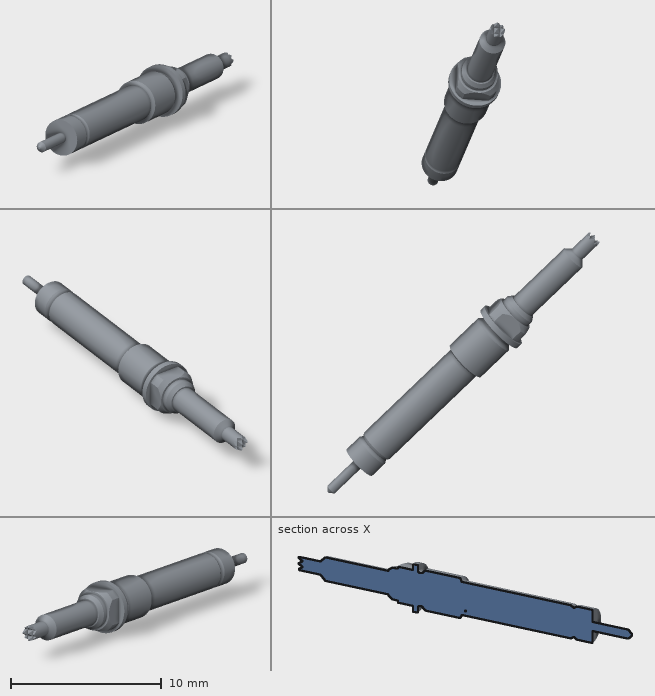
import cadquery as cq
import math

TOTAL_LENGTH = 25.0

PIN_RADIUS = 0.35
PIN_TIP_RADIUS = 0.08
PIN_CONE_LENGTH = PIN_RADIUS - PIN_TIP_RADIUS

BARREL_RADIUS = 1.22
BARREL_START = 2.92
GROOVE_CENTRE = 4.35
GROOVE_HALF_WIDTH = 0.22
GROOVE_DEPTH = 0.15

SLEEVE_RADIUS = 1.48
SLEEVE_START = 12.85
SLEEVE_END = 15.48
SLEEVE_LEAD_LENGTH = 0.12
NECK_START = SLEEVE_END + SLEEVE_RADIUS - BARREL_RADIUS
NECK_FLARE = 0.08

FLANGE_RADIUS = 1.75
FLANGE_START = 16.0
FLANGE_THICKNESS = 0.4
FLANGE_END = FLANGE_START + FLANGE_THICKNESS
FLAT_OFFSET = 1.32
FLAT_WIDTH = 1.72
WRENCH_RADIUS = math.hypot(FLAT_OFFSET, FLAT_WIDTH / 2)
WRENCH_END = 17.55
WRENCH_CHAMFER_LENGTH = 0.38

COLLAR_RADIUS = 1.18
COLLAR_END = 18.22
COLLAR_CHAMFER_RADIAL = 0.2
COLLAR_CHAMFER_LENGTH = 0.3

PLUNGER_RADIUS = 0.88
PLUNGER_END = 22.95
HEAD_RADIUS = 0.5
HEAD_START = PLUNGER_END + PLUNGER_RADIUS - HEAD_RADIUS

TOOTH_PITCH = 0.42
TOOTH_DEPTH = 0.32
TEETH_PER_ROW = 3


def turned_body():
    """Revolve the full stepped half-profile about the Y axis."""
    profile = [
        (0, 0),
        (PIN_TIP_RADIUS, 0),
        (PIN_RADIUS, PIN_CONE_LENGTH),
        (PIN_RADIUS, BARREL_START),
        (BARREL_RADIUS, BARREL_START),
        (BARREL_RADIUS, GROOVE_CENTRE - GROOVE_HALF_WIDTH),
        (BARREL_RADIUS - GROOVE_DEPTH, GROOVE_CENTRE),
        (BARREL_RADIUS, GROOVE_CENTRE + GROOVE_HALF_WIDTH),
        (BARREL_RADIUS, SLEEVE_START - SLEEVE_LEAD_LENGTH),
        (SLEEVE_RADIUS, SLEEVE_START),
        (SLEEVE_RADIUS, SLEEVE_END),
        (BARREL_RADIUS, NECK_START),
        (BARREL_RADIUS, FLANGE_START - NECK_FLARE),
        (BARREL_RADIUS + NECK_FLARE, FLANGE_START),
        (FLANGE_RADIUS, FLANGE_START),
        (FLANGE_RADIUS, FLANGE_END),
        (WRENCH_RADIUS, FLANGE_END),
        (WRENCH_RADIUS, WRENCH_END - WRENCH_CHAMFER_LENGTH),
        (FLAT_OFFSET, WRENCH_END),
        (COLLAR_RADIUS, WRENCH_END),
        (COLLAR_RADIUS, COLLAR_END - COLLAR_CHAMFER_LENGTH),
        (COLLAR_RADIUS - COLLAR_CHAMFER_RADIAL, COLLAR_END),
        (PLUNGER_RADIUS, COLLAR_END),
        (PLUNGER_RADIUS, PLUNGER_END),
        (HEAD_RADIUS, HEAD_START),
        (HEAD_RADIUS, TOTAL_LENGTH),
        (0, TOTAL_LENGTH),
    ]
    return cq.Workplane("XY").polyline(profile).close().revolve(360, (0, 0, 0), (0, 1, 0))


def wrench_flat(angle):
    """Block that leaves one wrench flat, turned about the Y axis."""
    depth = FLANGE_RADIUS - FLAT_OFFSET
    block = cq.Workplane("XY").box(
        2 * FLANGE_RADIUS, WRENCH_END - FLANGE_END, depth, centered=(True, False, False)
    )
    block = block.translate((0, FLANGE_END, FLAT_OFFSET))
    return block.rotate((0, 0, 0), (0, 1, 0), angle)


def crown_groove(offset, angle):
    """V-groove across the head at the given offset, turned about the Y axis."""
    root = TOTAL_LENGTH - TOOTH_DEPTH
    groove = (
        cq.Workplane("XY")
        .moveTo(offset, root)
        .lineTo(offset + TOOTH_PITCH / 2, TOTAL_LENGTH)
        .lineTo(offset - TOOTH_PITCH / 2, TOTAL_LENGTH)
        .close()
        .extrude(2 * HEAD_RADIUS, both=True)
    )
    return groove.rotate((0, 0, 0), (0, 1, 0), angle)


result = turned_body()

for flat_angle in (0, 90, 180, 270):
    result = result.cut(wrench_flat(flat_angle))

for groove_angle in (0, 90):
    for index in range(TEETH_PER_ROW + 1):
        groove_offset = (index - TEETH_PER_ROW / 2) * TOOTH_PITCH
        result = result.cut(crown_groove(groove_offset, groove_angle))